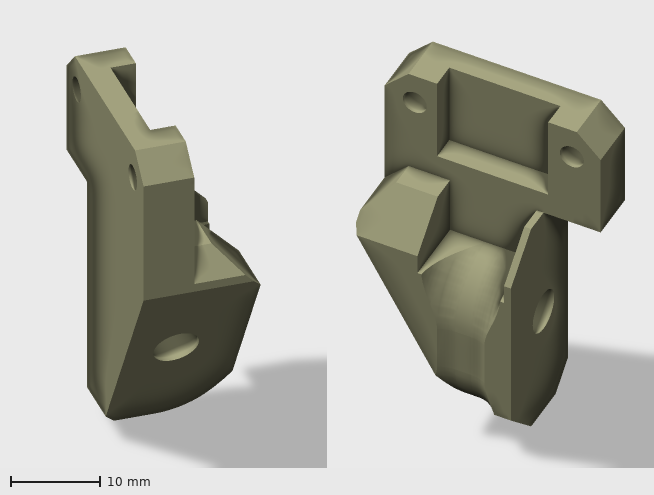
import cadquery as cq
import math

width = 27.1
height = 44.0
plate_depth = 6.0
body_depth = 14.0
body_height = 30.0
body_left = 7.15
slope_top = 26.0
slope_angle = 30.0
small_chamfer = 3.0
large_chamfer = 4.95
center_x = width / 2
feature_x = 13.45
overshoot = 0.45

screw_diameter = 3.0
screw_spacing = 19.7
screw_drop = 4.0
cross_hole_diameter = 5.3

pocket_width = 13.95
pocket_depth = 3.0
pocket_floor = body_height + 3.0
slot_width = 10.85

groove_flat = 2.0
groove_width = 10.0
groove_radius = (groove_width - groove_flat) / 2
groove_bottom = 1.8
bend_radius = 7.5
groove_top = body_height / 2 + bend_radius
groove_reach = 11.0


def box(x_min, x_max, y_min, y_max, z_min, z_max):
    """Box between the given limits."""
    solid = cq.Workplane("XY").box(x_max - x_min, y_max - y_min, z_max - z_min, centered=False)
    return solid.translate((x_min, y_min, z_min))


def extrude_along_y(sketch, depth):
    """Extrude an XZ sketch from the front face towards +Y."""
    return sketch.extrude(-depth)


def make_plate():
    """Front plate with chamfered top corners and a pocket in its back."""
    outline = cq.Workplane("XZ").polyline([
        (0, body_height),
        (width, body_height),
        (width, height - small_chamfer),
        (width - small_chamfer, height),
        (small_chamfer, height),
        (0, height - small_chamfer),
    ]).close()
    plate = extrude_along_y(outline, plate_depth)
    pocket = box(
        center_x - pocket_width / 2, center_x + pocket_width / 2,
        plate_depth - pocket_depth, plate_depth,
        pocket_floor, height,
    )
    return plate.cut(pocket)


def make_body():
    """Deep lower body: sloping right side and chamfered edges along X."""
    slope_foot = width - slope_top * math.tan(math.radians(slope_angle))
    front_outline = cq.Workplane("XZ").polyline([
        (body_left, 0),
        (slope_foot, 0),
        (width, slope_top),
        (width, body_height - small_chamfer),
        (width - small_chamfer, body_height),
        (body_left, body_height),
    ]).close()
    side_outline = cq.Workplane("YZ").polyline([
        (0, small_chamfer),
        (small_chamfer, 0),
        (body_depth - large_chamfer, 0),
        (body_depth, large_chamfer),
        (body_depth, body_height - large_chamfer),
        (body_depth - large_chamfer, body_height),
        (0, body_height),
    ]).close()
    body = extrude_along_y(front_outline, body_depth).intersect(side_outline.extrude(width))
    plate_corner = box(
        width - small_chamfer, width,
        0, plate_depth,
        body_height - small_chamfer, body_height,
    )
    return body.union(plate_corner)


def groove_profile(workplane):
    """Groove section: flat floor at local height 0, rounded corners and straight walls."""
    half_flat = groove_flat / 2
    half_width = groove_width / 2
    corner = groove_radius * math.sqrt(0.5)
    return (
        workplane
        .moveTo(-half_flat, 0)
        .lineTo(half_flat, 0)
        .threePointArc((half_flat + corner, groove_radius - corner), (half_width, groove_radius))
        .lineTo(half_width, groove_reach)
        .lineTo(-half_width, groove_reach)
        .lineTo(-half_width, groove_radius)
        .threePointArc((-half_flat - corner, groove_radius - corner), (-half_flat, 0))
        .close()
    )


def groove_plane(y, z, normal):
    """Plane across the groove, with its floor at the given point."""
    return cq.Workplane(cq.Plane(origin=(feature_x, y, z), xDir=(1, 0, 0), normal=normal))


def make_groove():
    """Groove cutters along the bottom and up the back, bending over to meet the slot floor."""
    bend_axis = ((-0.45, -bend_radius, 0), (0.45, -bend_radius, 0))
    lower_center = groove_bottom + bend_radius
    upper_center = groove_top - bend_radius
    bottom_run = groove_profile(
        groove_plane(-overshoot, groove_bottom, (0, 1, 0))
    ).extrude(plate_depth + overshoot)
    lower_bend = groove_profile(
        groove_plane(plate_depth, groove_bottom, (0, 1, 0))
    ).revolve(90, *bend_axis)
    back_run = groove_profile(
        groove_plane(plate_depth + bend_radius, lower_center, (0, 0, 1))
    ).extrude(upper_center - lower_center)
    upper_bend = groove_profile(
        groove_plane(plate_depth + bend_radius, upper_center, (0, 0, 1))
    ).revolve(90, *bend_axis)
    return [bottom_run, lower_bend, back_run, upper_bend]


def make_screw_hole(x):
    """Screw hole cutter through the plate at the given X."""
    hole = cq.Workplane("XZ").center(x, height - screw_drop).circle(screw_diameter / 2)
    return extrude_along_y(hole, plate_depth)


result = make_body().union(make_plate())

slot = box(
    feature_x - slot_width / 2, feature_x + slot_width / 2,
    plate_depth, body_depth,
    groove_top, body_height,
)
result = result.cut(slot)

for groove_part in make_groove():
    result = result.cut(groove_part)

for side in (-1, 1):
    result = result.cut(make_screw_hole(feature_x + side * screw_spacing / 2))

cross_hole = (
    cq.Workplane("YZ")
    .center(plate_depth, body_height / 2)
    .circle(cross_hole_diameter / 2)
    .extrude(width)
)
result = result.cut(cross_hole)